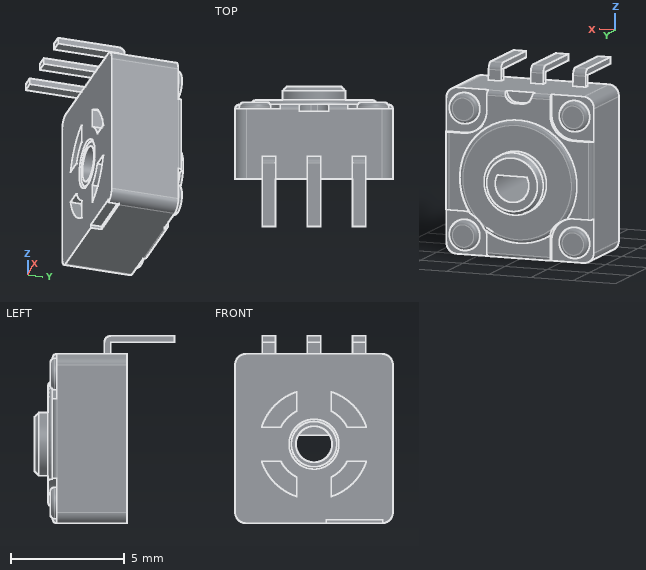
import cadquery as cq


housing_width = 7.0
housing_depth = 3.105
housing_top = 4.0
housing_bottom = -3.5
housing_height = housing_top - housing_bottom
housing_middle = (housing_top + housing_bottom) / 2
housing_corner_radius = 0.5

plate_thickness = 0.2
disc_radius = 2.77
disc_height = 0.4
corner_cut = 2.0
corner_cut_radius = 1.1

rivet_radius = 0.7
rivet_height = 0.3
rivet_edge_radius = 0.19
rivet_inset = 0.9

knob_radius = 1.4
knob_height = 1.0
knob_chamfer = 0.2
bore_radius = 0.8
bore_flat_offset = 0.39
rotor_rim_radius = 1.005
rotor_seat_radius = 1.1
rotor_recess = 0.06
rotor_rim_chamfer = rotor_seat_radius - rotor_rim_radius

pocket_outer_radius = 2.44
pocket_inner_radius = 1.65
pocket_web_width = 1.51
pocket_depth = 0.5

top_notch_width = 1.3
top_notch_radius = 0.5
top_notch_cut_into_housing = 0.1
bottom_notch_start = 0.55
bottom_notch_width = 2.5
bottom_notch_height = 0.15
bottom_notch_depth = 0.5

terminal_pitch = 2.0
terminal_width = 0.6
terminal_thickness = 0.3
terminal_rise = 0.8
terminal_rear = 1.01
terminal_reach = 2.1
terminal_root = 0.17


def facing_back(y):
    """Sketch plane at depth y with +X right and +Z up; negative extrusions go backward along +Y."""
    return cq.Workplane("XZ", origin=(0, y, 0))


def make_block(depth):
    """Block with the housing outline and rounded corners, starting at the front face."""
    return (
        facing_back(0)
        .center(0, housing_middle)
        .rect(housing_width, housing_height)
        .extrude(-depth)
        .edges("|Y")
        .fillet(housing_corner_radius)
    )


def make_corner_cuts():
    """Rounded squares centred on the four housing corners, so a quarter of each enters the cover."""
    cutters = (
        facing_back(housing_depth)
        .center(0, housing_middle)
        .rect(housing_width, housing_height, forConstruction=True)
        .vertices()
        .rect(2 * corner_cut, 2 * corner_cut)
        .extrude(-disc_height)
    )
    return cutters.edges("|Y").fillet(corner_cut_radius)


def make_cover():
    """Plate and disc, each rounded over its full visible height; the plate continues through the housing."""
    disc_edge_radius = disc_height - plate_thickness
    plate = make_block(housing_depth + plate_thickness).faces(">Y").edges().fillet(plate_thickness)
    disc = facing_back(housing_depth).circle(disc_radius).extrude(-disc_height)
    cover = plate.union(disc.faces(">Y").edges().fillet(disc_edge_radius))
    return cover.cut(make_corner_cuts())


def make_rivets():
    return (
        facing_back(housing_depth)
        .center(0, housing_middle)
        .rect(housing_width - 2 * rivet_inset, housing_height - 2 * rivet_inset, forConstruction=True)
        .vertices()
        .circle(rivet_radius)
        .extrude(-rivet_height)
        .faces(">Y")
        .edges()
        .fillet(rivet_edge_radius)
    )


def make_knob():
    knob = facing_back(housing_depth).circle(knob_radius).extrude(-knob_height)
    return knob.faces(">Y").edges().chamfer(knob_chamfer)


def make_terminal(x):
    """Flat strip rising from the housing top and bent forward."""
    top = housing_top + terminal_rise
    strip_front = terminal_rear - terminal_thickness
    return (
        cq.Workplane("YZ", origin=(x - terminal_width / 2, 0, 0))
        .moveTo(terminal_rear, housing_top - terminal_root)
        .lineTo(terminal_rear, top - terminal_thickness)
        .radiusArc((strip_front, top), -terminal_thickness)
        .lineTo(-terminal_reach, top)
        .lineTo(-terminal_reach, top - terminal_thickness)
        .lineTo(strip_front, top - terminal_thickness)
        .lineTo(strip_front, housing_top - terminal_root)
        .close()
        .extrude(terminal_width)
    )


def make_bore():
    """Through bore, round in the housing and D-shaped in the knob."""
    bore = facing_back(0).circle(bore_radius).extrude(-(housing_depth + knob_height))
    flat = cq.Workplane("XY").box(2 * bore_radius, knob_height, bore_radius, centered=(True, False, False))
    return bore.cut(flat.translate((0, housing_depth, bore_flat_offset)))


def make_rotor_seat():
    """Shallow round recess in the front face with a groove around the chamfered rotor rim."""
    seat = facing_back(0).circle(rotor_seat_radius).extrude(-(rotor_recess + rotor_rim_chamfer))
    rim = (
        facing_back(rotor_recess)
        .circle(rotor_rim_radius)
        .workplane(offset=-rotor_rim_chamfer)
        .circle(rotor_seat_radius)
        .loft()
    )
    return seat.cut(rim)


def make_pockets():
    """Ring split into four arc pockets by a cross-shaped web."""
    ring = facing_back(0).circle(pocket_outer_radius).circle(pocket_inner_radius).extrude(-pocket_depth)
    web = facing_back(0).rect(pocket_web_width, 2 * pocket_outer_radius).extrude(-pocket_depth)
    return ring.cut(web).cut(web.rotate((0, 0, 0), (0, 1, 0), 90))


def make_top_notch():
    half_width = top_notch_width / 2
    floor_half_width = half_width - top_notch_radius
    floor = housing_top - top_notch_radius
    return (
        facing_back(housing_depth - top_notch_cut_into_housing)
        .moveTo(-half_width, housing_top)
        .radiusArc((-floor_half_width, floor), -top_notch_radius)
        .lineTo(floor_half_width, floor)
        .radiusArc((half_width, housing_top), -top_notch_radius)
        .close()
        .extrude(-(top_notch_cut_into_housing + plate_thickness))
    )


def make_bottom_notch():
    notch = cq.Workplane("XY").box(bottom_notch_width, bottom_notch_depth, bottom_notch_height, centered=False)
    return notch.translate((bottom_notch_start, 0, housing_bottom))


part = make_block(housing_depth).union(make_cover()).union(make_rivets()).union(make_knob())
for position in (-1, 0, 1):
    part = part.union(make_terminal(position * terminal_pitch))

for removed in (make_bore(), make_rotor_seat(), make_pockets(), make_top_notch(), make_bottom_notch()):
    part = part.cut(removed)

result = part